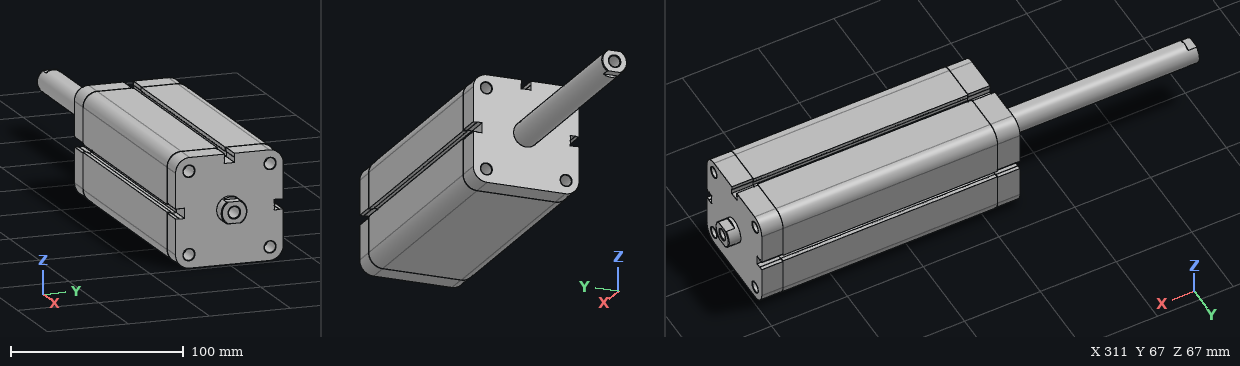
import cadquery as cq
import math

ROD_LENGTH = 311.0
FRONT_FACE = 132.5
FRONT_CAP_LENGTH = 15.0
TUBE_LENGTH = 141.5
REAR_CAP_LENGTH = 14.0

CAP_SIZE = 66.5
TUBE_SIZE = 67.0
CORNER_RADIUS = 8.7
BOLT_PITCH = 50.0
BOLT_HOLE_DIAMETER = 6.8
HOLE_CHAMFER = 0.3

SLOT_WIDTH = 6.2
SLOT_DEPTH = 5.5
LIP_THICKNESS = 2.5
CAP_MOUTH_WIDTH = 6.0
TUBE_MOUTH_WIDTH = 4.7

ROD_DIAMETER = 16.0
FLAT_SPACING = 13.0
FLAT_LENGTH = 6.0
END_CHAMFER = 0.47
BORE_DIAMETER = 6.8
BORE_CHAMFER = 0.47
BORE_DEPTH = 20.0
DRILL_POINT_ANGLE = 118.0

FRONT_JOINT = FRONT_FACE + FRONT_CAP_LENGTH
REAR_JOINT = FRONT_JOINT + TUBE_LENGTH


def box_along_x(start, length, width, z_low, z_high):
    """Box centred on Y that runs along X between two heights."""
    return cq.Workplane("XY").box(length, width, z_high - z_low, centered=(False, True, False)).translate(
        (start, 0, z_low)
    )


def square_block(start, length, size):
    """Rounded square block with the rod bore and four corner bolt holes."""
    block = (
        cq.Workplane("YZ", origin=(start, 0, 0))
        .rect(size, size)
        .extrude(length)
        .edges("|X")
        .fillet(CORNER_RADIUS)
    )
    bolt_holes = (
        cq.Workplane("YZ", origin=(start, 0, 0))
        .rect(BOLT_PITCH, BOLT_PITCH, forConstruction=True)
        .vertices()
        .circle(BOLT_HOLE_DIAMETER / 2)
        .extrude(length)
    )
    rod_bore = cq.Workplane("YZ", origin=(start, 0, 0)).circle(ROD_DIAMETER / 2).extrude(length)
    return block.cut(bolt_holes).cut(rod_bore)


def slotted_block(start, length, size, mouth_width):
    """Square block with T-shaped slots along the top and the two Y sides."""
    top = size / 2
    lip_bottom = top - LIP_THICKNESS
    mouth = box_along_x(start, length, mouth_width, lip_bottom, top)
    pocket = box_along_x(start, length, SLOT_WIDTH, top - SLOT_DEPTH, lip_bottom)
    slot = mouth.union(pocket)
    block = square_block(start, length, size)
    for angle in (-90, 0, 90):
        block = block.cut(slot.rotate((0, 0, 0), (1, 0, 0), angle))
    return block


def make_cap(start, length, outer_face):
    """End cap with the bolt holes chamfered on its outer face."""
    cap = slotted_block(start, length, CAP_SIZE, CAP_MOUTH_WIDTH)
    hole_corner = BOLT_PITCH / 2
    for y in (-hole_corner, hole_corner):
        for z in (-hole_corner, hole_corner):
            rim = cq.selectors.NearestToPointSelector((outer_face, y, z))
            cap = cap.edges("%CIRCLE").edges(rim).chamfer(HOLE_CHAMFER)
    return cap


def make_tube():
    """Profile tube between the two caps."""
    return slotted_block(FRONT_JOINT, TUBE_LENGTH, TUBE_SIZE, TUBE_MOUTH_WIDTH)


def end_bore():
    """Blind drilled hole with a chamfered mouth and a conical bottom, entering at X = 0."""
    radius = BORE_DIAMETER / 2
    point_length = radius / math.tan(math.radians(DRILL_POINT_ANGLE / 2))
    profile = [
        (0, 0),
        (0, radius + BORE_CHAMFER),
        (BORE_CHAMFER, radius),
        (BORE_DEPTH, radius),
        (BORE_DEPTH + point_length, 0),
    ]
    return (
        cq.Workplane("XY")
        .polyline(profile)
        .close()
        .revolve(360, (0, 0, 0), (1, 0, 0))
    )


def make_rod():
    """Through rod with wrench flats and a blind bore at both ends."""
    rod = cq.Workplane("YZ").circle(ROD_DIAMETER / 2).extrude(ROD_LENGTH).faces("<X or >X").chamfer(END_CHAMFER)
    for start in (0, ROD_LENGTH - FLAT_LENGTH):
        rod = rod.cut(box_along_x(start, FLAT_LENGTH, ROD_DIAMETER, FLAT_SPACING / 2, ROD_DIAMETER))
        rod = rod.cut(box_along_x(start, FLAT_LENGTH, ROD_DIAMETER, -ROD_DIAMETER, -FLAT_SPACING / 2))
    front_bore = end_bore()
    rear_bore = front_bore.mirror("YZ").translate((ROD_LENGTH, 0, 0))
    return rod.cut(front_bore).cut(rear_bore)


front_cap = make_cap(FRONT_FACE, FRONT_CAP_LENGTH, FRONT_FACE)
tube = make_tube()
rear_cap = make_cap(REAR_JOINT, REAR_CAP_LENGTH, REAR_JOINT + REAR_CAP_LENGTH)
rod = make_rod()

result = cq.Compound.makeCompound([front_cap.val(), tube.val(), rear_cap.val(), rod.val()])